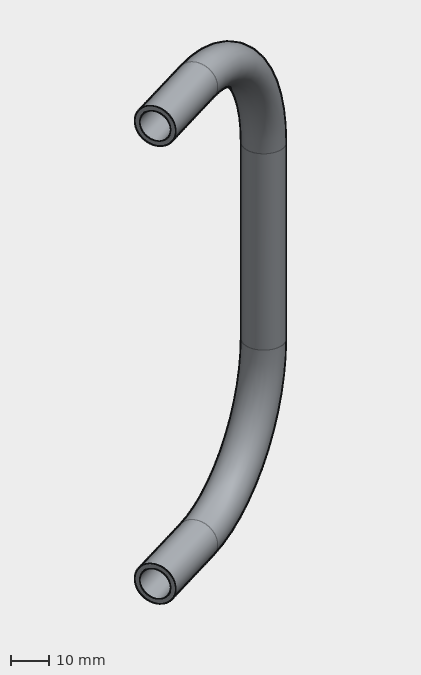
import cadquery as cq
import math

height = 152.0
depth = 71.0
bar_diameter = 12.0
bore_diameter = 9.0
bore_depth = 15.0
drill_point_angle = 118.0
bend_radius = 40.0

leg_z = (height - bar_diameter) / 2
grip_half_length = leg_z - bend_radius
leg_end_y = bar_diameter / 2 - depth
drill_point_length = bore_diameter / 2 / math.tan(math.radians(drill_point_angle / 2))


def centreline():
    """Lower leg, bend, grip, bend and upper leg, in the YZ plane."""
    return (
        cq.Workplane("YZ")
        .moveTo(leg_end_y, -leg_z)
        .lineTo(-bend_radius, -leg_z)
        .tangentArcPoint((0, -grip_half_length), relative=False)
        .lineTo(0, grip_half_length)
        .tangentArcPoint((-bend_radius, leg_z), relative=False)
        .lineTo(leg_end_y, leg_z)
    )


def bent_bar():
    """Solid round rod that follows the centreline."""
    leg_end = cq.Workplane("XZ", origin=(0, leg_end_y, -leg_z))
    return leg_end.circle(bar_diameter / 2).sweep(centreline())


def drilled_bore(z):
    """Blind bore into a leg end at height z, with a conical drill point."""
    profile = (
        cq.Workplane("XY", origin=(0, leg_end_y, z))
        .lineTo(bore_diameter / 2, 0)
        .lineTo(bore_diameter / 2, bore_depth)
        .lineTo(0, bore_depth + drill_point_length)
        .close()
    )
    return profile.revolve(360, (0, 0, 0), (0, 1, 0))


result = bent_bar()
for bore_z in (-leg_z, leg_z):
    result = result.cut(drilled_bore(bore_z))